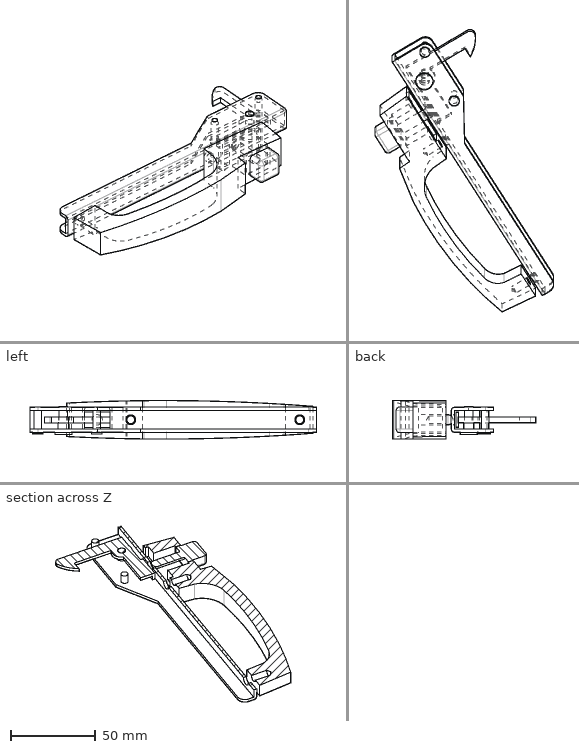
import cadquery as cq
import math


bracket_length = 170.0
bracket_height = 15.0
sheet = 2.0
flange_wide = 25.2
flange_narrow = 10.4
taper_low_y = 104.5
taper_high_y = 129.9
flange_corner_radius = 5.0
plate_top = bracket_height / 2
plate_gap = bracket_height - 2 * sheet
bracket_hole_diameter = 5.8
mounting_hole_ys = [10.0, 110.2]

rivet_places = [(-20.0, 165.2), (-19.0, 130.4)]
rivet_diameter = 4.5
rivet_tip_diameter = 3.4
rivet_tip_height = 0.2
rivet_head_diameter = 6.1
rivet_head_height = 0.8
pivot_x = -10.4
pivot_y = 150.1
pivot_diameter = 5.1
pivot_shoulder_diameter = 6.1
pivot_tip_height = 0.5
pivot_head_diameter = 10.2
pivot_head_height = 1.4

button_y = 130.0
button_size = 15.3
button_fillet = 2.2
button_end_x = 32.6
plunger_diameter = 6.1
plunger_dome_x = 2.0

lever_thickness = 3.5
arm_top_y = 161.2
arm_bottom_y = 153.0
hook_tip_x = -50.2
hook_notch_x = -40.5
barb_y = 147.0
barb_start_y = 157.0
barb_mid = (-45.5, 150.8)
hook_nose_radius = 3.0
boss_radius = 6.3
leg_left_x = -12.4
pad_left_x = -4.5
pad_right_x = -2.7
pad_length = 15.1
pad_height = 9.0

handle_height = 23.0
handle_back_x = 3.0
handle_seat_x = 22.8
handle_bottom_y = 2.0
handle_top_y = 148.2
crown_y = 90.3
seat_top_y = 146.4
seat_bottom_y = 113.0
step_corner = (30.0, 112.5)
outer_bow_start_x = 33.8
outer_bow_mid = (34.8, 68.7)
outer_bow_end = (25.2, 4.0)
foot_top_y = 18.5
lower_bend_start = (14.5, 19.4)
lower_bend_mid = (19.7, 22.3)
inner_bow_start = (22.8, 28.0)
inner_bow_mid = (27.0, 68.7)
inner_bow_end = (25.7, 89.0)
upper_bend_mid = (20.9, 98.1)
upper_bend_end = (13.0, 102.3)
head_bottom_y = 103.2
side_radius = 1122.0
recess_length = 30.8
recess_height = 14.5
recess_depth = 2.0
pocket_length = 17.5
button_wall = 3.4
blind_hole_diameter = 4.6
blind_hole_depth = 10.2
drill_point_angle = 118.0

pocket_floor_x = handle_seat_x - button_wall


def x_box(x_start, x_end, y_center, y_size, z_size):
    """Box between two X positions, centred on Z = 0."""
    return cq.Workplane("XY").box(x_end - x_start, y_size, z_size).translate(
        ((x_start + x_end) / 2, y_center, 0)
    )


def x_rod(x_start, x_end, y, diameter):
    """Round rod along X on the middle plane."""
    rod = cq.Workplane("YZ").workplane(offset=x_start).center(y, 0)
    return rod.circle(diameter / 2).extrude(x_end - x_start)


def z_rod(x, y, z_start, z_end, diameter):
    """Round rod along Z."""
    rod = cq.Workplane("XY").workplane(offset=z_start).center(x, y)
    return rod.circle(diameter / 2).extrude(z_end - z_start)


def make_rivet(x, y):
    """Shouldered rivet with its head under the lower flange."""
    head = z_rod(x, y, -plate_top - rivet_head_height, -plate_top, rivet_head_diameter)
    shank = z_rod(x, y, -plate_top, plate_gap / 2, rivet_diameter)
    tip = z_rod(x, y, plate_gap / 2, plate_top + rivet_tip_height, rivet_tip_diameter)
    return head.union(shank).union(tip)


def make_pivot():
    """Pivot pin with a shoulder that carries the lever."""
    shoulder_z = -lever_thickness / 2
    head = z_rod(pivot_x, pivot_y, -plate_top - pivot_head_height, -plate_top, pivot_head_diameter)
    shoulder = z_rod(pivot_x, pivot_y, -plate_top, shoulder_z, pivot_shoulder_diameter)
    shank = z_rod(pivot_x, pivot_y, shoulder_z, plate_top + pivot_tip_height, pivot_diameter)
    return head.union(shoulder).union(shank)


def make_bracket():
    """Folded channel, open towards -X, with its rivets and pivot pin."""
    block = (
        cq.Workplane("XY")
        .workplane(offset=-plate_top)
        .moveTo(0, 0)
        .lineTo(0, bracket_length)
        .lineTo(-flange_wide, bracket_length)
        .lineTo(-flange_wide, taper_high_y)
        .lineTo(-flange_narrow, taper_low_y)
        .lineTo(-flange_narrow, 0)
        .close()
        .extrude(bracket_height)
    )
    for corner in [(-flange_wide, bracket_length, 0), (-flange_narrow, 0, 0)]:
        block = block.edges(cq.selectors.NearestToPointSelector(corner)).fillet(flange_corner_radius)
    block = block.faces(">X").edges("|Y").fillet(sheet)
    inside = x_box(-2 * flange_wide, -sheet, bracket_length / 2, bracket_length, plate_gap)
    bracket = block.cut(inside)
    for y in mounting_hole_ys:
        bracket = bracket.cut(x_rod(-sheet, 0, y, bracket_hole_diameter))
    bracket = bracket.cut(x_rod(-sheet, 0, button_y, plunger_diameter))
    for x, y in rivet_places:
        bracket = bracket.union(make_rivet(x, y))
    return bracket.union(make_pivot())


def make_lever():
    """Hook arm, round pivot boss and a leg that ends in the push pad."""
    leg_bottom_y = button_y - pad_length / 2
    base = cq.Workplane("XY").workplane(offset=-lever_thickness / 2)
    lever = (
        base.moveTo(pad_left_x, arm_top_y)
        .lineTo(hook_tip_x + hook_nose_radius, arm_top_y)
        .radiusArc((hook_tip_x, arm_top_y - hook_nose_radius), -hook_nose_radius)
        .lineTo(hook_tip_x, barb_start_y)
        .threePointArc(barb_mid, (hook_notch_x, barb_y))
        .lineTo(hook_notch_x, arm_bottom_y)
        .lineTo(leg_left_x, arm_bottom_y)
        .lineTo(leg_left_x, leg_bottom_y)
        .lineTo(pad_left_x, leg_bottom_y)
        .close()
        .extrude(lever_thickness)
    )
    half = lever_thickness / 2
    lever = lever.union(z_rod(pivot_x, pivot_y, -half, half, 2 * boss_radius))
    lever = lever.union(x_box(pad_left_x, pad_right_x, button_y, pad_length, pad_height))
    return lever.cut(z_rod(pivot_x, pivot_y, -half, half, pivot_diameter))


def handle_outline():
    """Bow handle outline extruded to the full height."""
    return (
        cq.Workplane("XY")
        .workplane(offset=-handle_height / 2)
        .moveTo(handle_back_x, handle_top_y)
        .lineTo(handle_seat_x, seat_top_y)
        .lineTo(handle_seat_x, seat_bottom_y)
        .lineTo(*step_corner)
        .lineTo(outer_bow_start_x, crown_y)
        .threePointArc(outer_bow_mid, outer_bow_end)
        .lineTo(handle_back_x, handle_bottom_y)
        .lineTo(handle_back_x, foot_top_y)
        .lineTo(*lower_bend_start)
        .threePointArc(lower_bend_mid, inner_bow_start)
        .threePointArc(inner_bow_mid, inner_bow_end)
        .threePointArc(upper_bend_mid, upper_bend_end)
        .lineTo(handle_back_x, head_bottom_y)
        .close()
        .extrude(handle_height)
    )


def side_z(y):
    """Half height of the crowned handle at a given Y."""
    drop = side_radius - math.sqrt(side_radius**2 - (y - crown_y) ** 2)
    return handle_height / 2 - drop


def handle_sides():
    """Lens-shaped block, thickest at the crown, that trims the handle sides."""
    top_z = side_z(handle_top_y)
    bottom_z = side_z(handle_bottom_y)
    crown_z = handle_height / 2
    return (
        cq.Workplane("YZ")
        .moveTo(handle_bottom_y, -bottom_z)
        .lineTo(handle_bottom_y, bottom_z)
        .radiusArc((crown_y, crown_z), side_radius)
        .radiusArc((handle_top_y, top_z), side_radius)
        .lineTo(handle_top_y, -top_z)
        .radiusArc((crown_y, -crown_z), side_radius)
        .radiusArc((handle_bottom_y, -bottom_z), side_radius)
        .close()
        .extrude(2 * button_end_x)
    )


def blind_hole(y):
    """Drilled hole in the back of the handle, ending in a cone."""
    radius = blind_hole_diameter / 2
    point = radius / math.tan(math.radians(drill_point_angle / 2))
    shoulder_x = handle_back_x + blind_hole_depth
    return (
        cq.Workplane("XY")
        .moveTo(handle_back_x, y)
        .lineTo(handle_back_x, y + radius)
        .lineTo(shoulder_x, y + radius)
        .lineTo(shoulder_x + point, y)
        .close()
        .revolve(360, (handle_back_x, y, 0), (shoulder_x, y, 0))
    )


def button_block(x_start):
    """Square bar with rounded long edges, from x_start to the button end."""
    block = x_box(x_start, button_end_x, button_y, button_size, button_size)
    return block.edges("|X").fillet(button_fillet)


def make_handle():
    """Bow handle with the button pocket and blind mounting holes."""
    recess_floor_x = handle_back_x + recess_depth
    handle = handle_outline().intersect(handle_sides())
    handle = handle.cut(x_box(handle_back_x, recess_floor_x, button_y, recess_length, recess_height))
    handle = handle.cut(x_box(recess_floor_x, pocket_floor_x, button_y, pocket_length, recess_height))
    handle = handle.cut(button_block(pocket_floor_x))
    for y in mounting_hole_ys:
        handle = handle.cut(blind_hole(y))
    return handle


def make_button():
    """Push button with a dome-ended plunger."""
    button = button_block(pocket_floor_x).faces(">X").edges().fillet(button_fillet)
    dome = cq.Workplane("XY").sphere(plunger_diameter / 2).translate((plunger_dome_x, button_y, 0))
    plunger = x_rod(plunger_dome_x, pocket_floor_x, button_y, plunger_diameter)
    return button.union(plunger.union(dome))


bracket = make_bracket()
lever = make_lever()
handle = make_handle()
button = make_button()

result = cq.Compound.makeCompound([bracket.val(), lever.val(), handle.val(), button.val()])